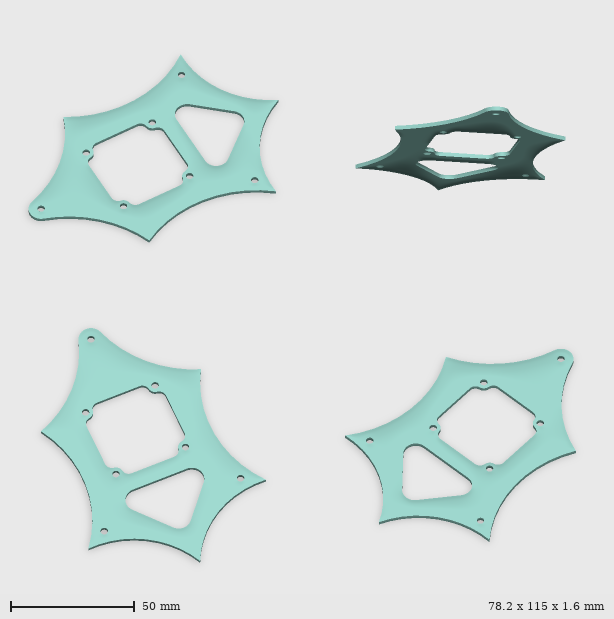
import cadquery as cq
import math

length = 115.0
width = 78.2
thickness = 1.6
nose_y = 65.1
tail_y = nose_y - length

shoulder = (width / 2, 41.9)
hip = (35.2, -14.6)
nose_edge_radius = 40.0
side_edge_radius = 50.0
tail_edge_radius = 50.0
tail_radius = 5.1

hole_diameter = 3.0
shoulder_hole_x = 30.0
shoulder_hole_y = 37.1
mount_offset = 15.3
tail_center_y = tail_y + tail_radius

window_half = 17.5
lobe_radius = 3.0
window_fillet = 3.0

triangle_top = 48.5
triangle_bottom = 24.5
triangle_half_width = 16.9
triangle_radius = 5.1


def mirror_x(point):
    return (-point[0], point[1])


def tail_tangent_point():
    """Right-hand point where the concave edge is tangent to the round tail."""
    reach = tail_edge_radius + tail_radius
    dx = hip[0]
    dy = hip[1] - tail_center_y
    distance = math.hypot(dx, dy)
    along = (distance**2 + reach**2 - tail_edge_radius**2) / (2 * distance)
    aside = math.sqrt(reach**2 - along**2)
    center_x = (along * dx + aside * dy) / distance
    center_y = (along * dy - aside * dx) / distance
    return (
        tail_radius * center_x / reach,
        tail_center_y + tail_radius * center_y / reach,
    )


def make_plate():
    tail_point = tail_tangent_point()
    return (
        cq.Workplane("XY")
        .moveTo(0, nose_y)
        .radiusArc(shoulder, -nose_edge_radius)
        .radiusArc(hip, -side_edge_radius)
        .radiusArc(tail_point, -tail_edge_radius)
        .threePointArc((0, tail_y), mirror_x(tail_point))
        .radiusArc(mirror_x(hip), -tail_edge_radius)
        .radiusArc(mirror_x(shoulder), -side_edge_radius)
        .radiusArc((0, nose_y), -nose_edge_radius)
        .close()
        .extrude(thickness)
    )


def make_square_window():
    fillet_y = window_half - window_fillet
    center_distance = lobe_radius + window_fillet
    fillet_x = mount_offset - math.sqrt(center_distance**2 - (mount_offset - fillet_y) ** 2)
    blend = lobe_radius / center_distance
    top_blend = (
        mount_offset + blend * (fillet_x - mount_offset),
        mount_offset + blend * (fillet_y - mount_offset),
    )
    side_blend = (top_blend[1], top_blend[0])

    def turn(point, quarter):
        x, y = point
        for _ in range(quarter):
            x, y = y, -x
        return (x, y)

    outline = cq.Workplane("XY").moveTo(-fillet_x, window_half)
    for quarter in range(4):
        outline = (
            outline.lineTo(*turn((fillet_x, window_half), quarter))
            .radiusArc(turn(top_blend, quarter), window_fillet)
            .radiusArc(turn(side_blend, quarter), -lobe_radius)
            .radiusArc(turn((window_half, fillet_x), quarter), window_fillet)
        )
    return outline.close().extrude(thickness)


def make_triangle_window():
    center_x = triangle_half_width - triangle_radius
    low_y = triangle_bottom + triangle_radius
    high_y = triangle_top - triangle_radius
    return (
        cq.Workplane("XY")
        .polyline([(-center_x, low_y), (center_x, low_y), (0, high_y)])
        .close()
        .offset2D(triangle_radius, "arc")
        .extrude(thickness)
    )


def make_holes():
    centers = [(0, tail_center_y)]
    for side in (-1, 1):
        centers.append((side * shoulder_hole_x, shoulder_hole_y))
        for end in (-1, 1):
            centers.append((side * mount_offset, end * mount_offset))
    return cq.Workplane("XY").pushPoints(centers).circle(hole_diameter / 2).extrude(thickness)


result = make_plate().cut(make_square_window()).cut(make_triangle_window()).cut(make_holes())